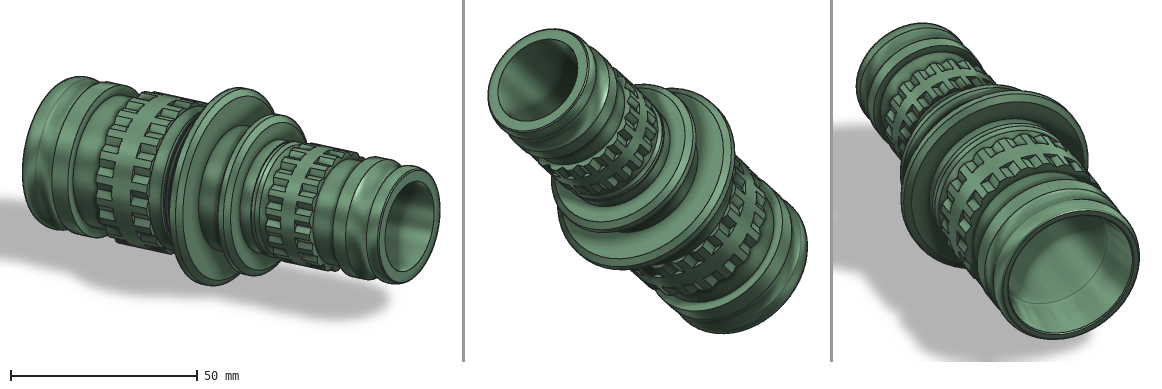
import cadquery as cq
import math

LENGTH = 110.3

BORE_SMALL_R = 12.4
BORE_LARGE_R = 15.9
MOUTH_R = 18.1
MOUTH_DEPTH = 12.5
BORE_STEP_START = 50.7
BORE_STEP_END = 52.4
MOUTH_BEVEL = 0.3

FLANGE_BEVEL_WIDTH = 1.2
FLANGE_BEVEL_HEIGHT = 1.8
LARGE_FLANGE_R = 26.9
LARGE_FLANGE_START = 50.0
LARGE_FLANGE_END = 54.3
SMALL_FLANGE_R = 22.0
SMALL_FLANGE_START = 62.2
SMALL_FLANGE_END = 66.3
BARREL_R = 17.2

LARGE_COLLAR_R = 20.8
LARGE_LIP_FACE_R = 19.7
LARGE_LIP_START_R = 20.1
LARGE_LIP_CREST_X = 3.9
LARGE_LIP_CREST_R = LARGE_COLLAR_R
LARGE_LIP_END = 4.7
LARGE_LIP_END_R = 20.6
LARGE_GROOVE_R = 19.9
LARGE_COLLAR_START = 10.0
LARGE_COLLAR_END = 15.1
LARGE_NECK_R = 18.2
LARGE_BAND_R = LARGE_COLLAR_R
LARGE_BAND_START = 23.9
LARGE_BAND_END = 40.0
LARGE_NOTCH_LENGTH = 5.1
LARGE_SEAT_R = 19.7
LARGE_TOOTH_R = 20.4
LARGE_TOOTH_START = 43.9
LARGE_TOOTH_PITCH = 1.5
LARGE_TOOTH_WIDTH = 1.2
LARGE_SHOULDER_R = 20.0

SMALL_SHOULDER_R = 15.5
SMALL_TOOTH_R = 15.9
SMALL_TOOTH_START = 69.9
SMALL_TOOTH_PITCH = 1.2
SMALL_TOOTH_WIDTH = 1.1
SMALL_SEAT_R = 15.2
SMALL_BAND_R = 16.3
SMALL_BAND_START = 74.9
SMALL_BAND_END = 88.8
SMALL_NOTCH_LENGTH = 4.7
SMALL_NECK_R = 14.5
SMALL_COLLAR_R = 16.4
SMALL_COLLAR_START = 96.3
SMALL_COLLAR_END = 100.4
SMALL_GROOVE_R = 15.1
SMALL_LIP_START = 106.7
SMALL_LIP_START_R = 16.0
SMALL_LIP_CREST_X = 107.5
SMALL_LIP_CREST_R = 16.1
SMALL_LIP_END_R = 15.7
SMALL_LIP_FACE_R = 15.3
LIP_BEVEL = 0.3

NOTCH_COUNT = 20
NOTCH_ANGLE = 11.9


def flange(profile, start, end, radius, root_radius):
    """Extend the profile over a flange bevelled on both rims, then down to the next radius."""
    return (
        profile.lineTo(start, radius - FLANGE_BEVEL_HEIGHT)
        .lineTo(start + FLANGE_BEVEL_WIDTH, radius)
        .lineTo(end - FLANGE_BEVEL_WIDTH, radius)
        .lineTo(end, radius - FLANGE_BEVEL_HEIGHT)
        .lineTo(end, root_radius)
    )


def coupling_body():
    """Revolve the outer outline and the stepped bore as one closed profile."""
    profile = cq.Workplane("XY").moveTo(0, LARGE_LIP_FACE_R)

    profile = (
        profile.lineTo(LIP_BEVEL, LARGE_LIP_START_R)
        .threePointArc((LARGE_LIP_CREST_X, LARGE_LIP_CREST_R), (LARGE_LIP_END, LARGE_LIP_END_R))
        .threePointArc(
            ((LARGE_LIP_END + LARGE_COLLAR_START) / 2, LARGE_GROOVE_R),
            (LARGE_COLLAR_START, LARGE_COLLAR_R),
        )
        .lineTo(LARGE_COLLAR_END, LARGE_COLLAR_R)
        .lineTo(LARGE_COLLAR_END, LARGE_NECK_R)
        .lineTo(LARGE_BAND_START, LARGE_NECK_R)
        .lineTo(LARGE_BAND_START, LARGE_BAND_R)
        .lineTo(LARGE_BAND_END, LARGE_BAND_R)
        .lineTo(LARGE_BAND_END, LARGE_SEAT_R)
    )

    for tooth, drop_radius in enumerate((LARGE_SEAT_R, LARGE_SHOULDER_R)):
        start = LARGE_TOOTH_START + tooth * LARGE_TOOTH_PITCH
        end = start + LARGE_TOOTH_WIDTH
        profile = (
            profile.lineTo(start, LARGE_SEAT_R)
            .lineTo(end, LARGE_TOOTH_R)
            .lineTo(end, drop_radius)
        )

    profile = profile.lineTo(LARGE_FLANGE_START, LARGE_SHOULDER_R)
    profile = flange(profile, LARGE_FLANGE_START, LARGE_FLANGE_END, LARGE_FLANGE_R, BARREL_R)
    profile = profile.lineTo(SMALL_FLANGE_START, BARREL_R)
    profile = flange(profile, SMALL_FLANGE_START, SMALL_FLANGE_END, SMALL_FLANGE_R, SMALL_SHOULDER_R)

    for tooth, root_radius in enumerate((SMALL_SHOULDER_R, SMALL_SEAT_R)):
        start = SMALL_TOOTH_START + tooth * SMALL_TOOTH_PITCH
        profile = (
            profile.lineTo(start, root_radius)
            .lineTo(start, SMALL_TOOTH_R)
            .lineTo(start + SMALL_TOOTH_WIDTH, SMALL_SEAT_R)
        )

    profile = (
        profile.lineTo(SMALL_BAND_START, SMALL_SEAT_R)
        .lineTo(SMALL_BAND_START, SMALL_BAND_R)
        .lineTo(SMALL_BAND_END, SMALL_BAND_R)
        .lineTo(SMALL_BAND_END, SMALL_NECK_R)
        .lineTo(SMALL_COLLAR_START, SMALL_NECK_R)
        .lineTo(SMALL_COLLAR_START, SMALL_COLLAR_R)
        .lineTo(SMALL_COLLAR_END, SMALL_COLLAR_R)
        .threePointArc(
            ((SMALL_COLLAR_END + SMALL_LIP_START) / 2, SMALL_GROOVE_R),
            (SMALL_LIP_START, SMALL_LIP_START_R),
        )
        .threePointArc(
            (SMALL_LIP_CREST_X, SMALL_LIP_CREST_R),
            (LENGTH - LIP_BEVEL, SMALL_LIP_END_R),
        )
        .lineTo(LENGTH, SMALL_LIP_FACE_R)
    )

    profile = (
        profile.lineTo(LENGTH, BORE_SMALL_R)
        .lineTo(BORE_STEP_END, BORE_SMALL_R)
        .lineTo(BORE_STEP_START, BORE_LARGE_R)
        .lineTo(MOUTH_DEPTH, BORE_LARGE_R)
        .lineTo(MOUTH_BEVEL, MOUTH_R)
        .lineTo(0, MOUTH_R + MOUTH_BEVEL)
        .close()
    )
    return profile.revolve(360, (0, 0, 0), (1, 0, 0))


def notch_row(start, length, band_radius, bottom):
    """Ring of V-notch cutters with edges at the bottom radius, the first one facing -Y."""
    half_angle = math.radians(NOTCH_ANGLE / 2)
    rim = band_radius * math.cos(half_angle)
    rim_half_width = band_radius * math.sin(half_angle)
    reach = 2 * (rim - bottom)
    cutter = (
        cq.Workplane("YZ", origin=(start, 0, 0))
        .moveTo(-bottom, 0)
        .lineTo(-bottom - reach, 2 * rim_half_width)
        .lineTo(-bottom - reach, -2 * rim_half_width)
        .close()
        .extrude(length)
    )
    return [
        cutter.rotate((0, 0, 0), (1, 0, 0), index * 360 / NOTCH_COUNT)
        for index in range(NOTCH_COUNT)
    ]


def cut_notches(body, start, end, length, band_radius, bottom):
    """Cut one row of notches into each end of a band."""
    for row_start in (start, end - length):
        for cutter in notch_row(row_start, length, band_radius, bottom):
            body = body.cut(cutter)
    return body


result = cut_notches(
    coupling_body(), LARGE_BAND_START, LARGE_BAND_END, LARGE_NOTCH_LENGTH, LARGE_BAND_R, LARGE_SEAT_R
)
result = cut_notches(
    result, SMALL_BAND_START, SMALL_BAND_END, SMALL_NOTCH_LENGTH, SMALL_BAND_R, SMALL_SEAT_R
)